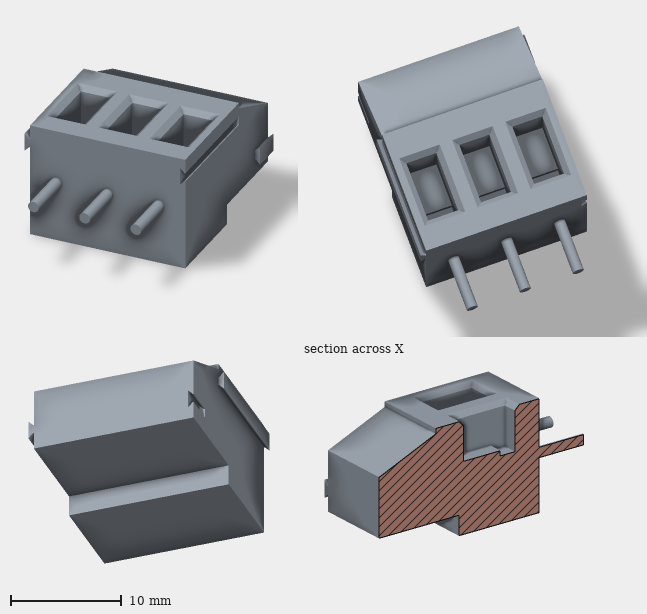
import cadquery as cq

BODY_WIDTH = 15.4
BODY_LENGTH = 18.0
BODY_HEIGHT = 11.2
BLOCK_LENGTH = 11.65
SLOPE_DROP = 0.55
BACK_TOP = 8.0
STEP_LENGTH = 9.05
STEP_HEIGHT = 2.0

POLE_COUNT = 3
PITCH = 5.08
PIN_DIAMETER = 1.05
PIN_LENGTH = 23.0 - BODY_LENGTH
PIN_Z = 5.9
POCKET_WIDTH = 2.88
POCKET_FRONT = 2.75
POCKET_BACK = 8.5
POCKET_FLARE = 0.5
POCKET_DEPTH = 4.0
POCKET_STEP_Y = 4.4
FLOOR_STEP = 0.5

TAIL_DEPTH = 0.53
TAIL_NECK = 0.07
TAIL_WIDTH = 1.77
TAIL_NECK_WIDTH = TAIL_WIDTH - 2 * (TAIL_DEPTH - TAIL_NECK)
RAIL_Z = BODY_HEIGHT - 1.828
TAB_Z = 4.07
TAB_LENGTH = 2.88

HALF_WIDTH = BODY_WIDTH / 2
pole_positions = [(i - (POLE_COUNT - 1) / 2) * PITCH for i in range(POLE_COUNT)]


def make_housing():
    """Side profile in the YZ plane, extruded across the width."""
    return (
        cq.Workplane("YZ")
        .polyline([
            (0, 0),
            (STEP_LENGTH, 0),
            (STEP_LENGTH, STEP_HEIGHT),
            (BODY_LENGTH, STEP_HEIGHT),
            (BODY_LENGTH, BACK_TOP),
            (BLOCK_LENGTH, BODY_HEIGHT - SLOPE_DROP),
            (BLOCK_LENGTH, BODY_HEIGHT),
            (0, BODY_HEIGHT),
        ])
        .close()
        .extrude(HALF_WIDTH, both=True)
    )


def make_dovetail(root_x, direction, z, start_y, length):
    """Dovetail along Y, widening from root_x in the given X direction."""
    neck_x = root_x + direction * TAIL_NECK
    tip_x = root_x + direction * TAIL_DEPTH
    half_neck = TAIL_NECK_WIDTH / 2
    half_tip = TAIL_WIDTH / 2
    return (
        cq.Workplane("XZ", origin=(0, start_y, 0))
        .polyline([
            (root_x, z - half_neck),
            (neck_x, z - half_neck),
            (tip_x, z - half_tip),
            (tip_x, z + half_tip),
            (neck_x, z + half_neck),
            (root_x, z + half_neck),
        ])
        .close()
        .extrude(-length)
    )


def make_pocket(x):
    """Stepped rectangular pocket with a bevelled mouth in the top face."""
    length = POCKET_BACK - POCKET_FRONT
    middle_y = (POCKET_FRONT + POCKET_BACK) / 2
    floor = BODY_HEIGHT - POCKET_DEPTH
    shaft = (
        cq.Workplane("XY", origin=(x, middle_y, floor))
        .rect(POCKET_WIDTH, length)
        .extrude(POCKET_DEPTH)
    )
    mouth = (
        cq.Workplane("XY", origin=(x, middle_y, BODY_HEIGHT))
        .rect(POCKET_WIDTH + 2 * POCKET_FLARE, length + 2 * POCKET_FLARE)
        .workplane(offset=-POCKET_FLARE)
        .rect(POCKET_WIDTH, length)
        .loft(ruled=True)
    )
    low_length = POCKET_STEP_Y - POCKET_FRONT
    low_floor = (
        cq.Workplane("XY", origin=(x, POCKET_FRONT + low_length / 2, floor - FLOOR_STEP))
        .rect(POCKET_WIDTH, low_length)
        .extrude(POCKET_DEPTH)
    )
    return shaft.union(mouth).union(low_floor)


def make_pin(x):
    """Round pin standing out of the front face."""
    return cq.Workplane("XZ", origin=(x, 0, PIN_Z)).circle(PIN_DIAMETER / 2).extrude(PIN_LENGTH)


result = make_housing()

tab_start = BODY_LENGTH - TAB_LENGTH
result = result.cut(make_dovetail(HALF_WIDTH, -1, RAIL_Z, 0, BLOCK_LENGTH))
result = result.cut(make_dovetail(-HALF_WIDTH, 1, TAB_Z, tab_start, TAB_LENGTH))
result = result.union(make_dovetail(-HALF_WIDTH, -1, RAIL_Z, 0, BLOCK_LENGTH))
result = result.union(make_dovetail(HALF_WIDTH, 1, TAB_Z, tab_start, TAB_LENGTH))

for pole_x in pole_positions:
    result = result.cut(make_pocket(pole_x))
    result = result.union(make_pin(pole_x))